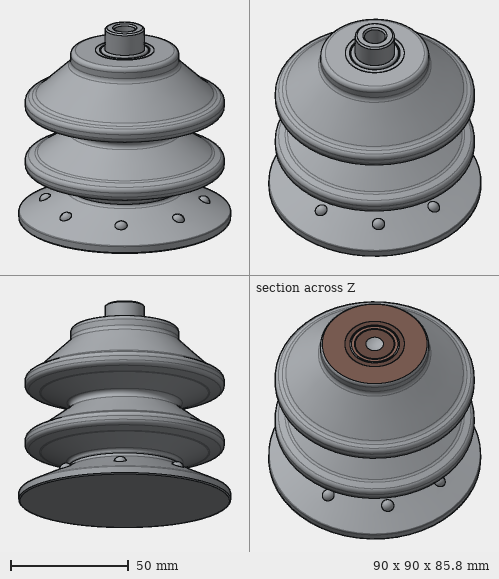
import cadquery as cq
import math


overall_height = 85.8
lip_radius = 45.0

rim_chamfer = 0.5
rim_height = 3.5
rim_fillet = 0.45
neck_radius = 23.8
lip_cone_top = 13.7
neck_fillet = 1.7
lip_cone_angle = math.atan2(lip_cone_top - rim_height, lip_radius - neck_radius)
split_height = lip_cone_top + neck_fillet * math.tan((math.pi / 2 - lip_cone_angle) / 2)

stud_count = 8
stud_radius = 2.9
stud_circle_radius = 33.3
stud_center_height = 7.7

convolution_radius = 42.3
convolution_pitch = 26.1
step_radius = 35.8
lower_neck_corner = 16.4
lower_step_height = 21.3
step_fillet = 4.5
lower_band_bottom = 23.0
lower_band_top = 27.9
band_bottom_fillet = 2.1
band_top_fillet = 2.25
shoulder_fillet = 4.5

lower_shoulder = (37.5, 29.7)
upper_shoulder = (38.3, 55.6)
upper_band_top = 54.2
middle_neck_corner = (21.15, 41.6)
middle_neck_fillet = 2.0

cap_radius = 46.0 / 2
cap_bottom = 69.8
cap_bottom_fillet = 2.8
cap_top = 75.7
cap_top_fillet = 2.0

flange_radius = 25.0 / 2
flange_rise = 0.2
flange_top = cap_top + flange_rise
flange_bottom = 70.2
stem_radius = 16.65 / 2
stem_chamfer_radial = 0.8
stem_chamfer_height = 0.6
bore_radius = 8.8 / 2
bore_mouth_radius = 10.3 / 2
bore_wall_bottom = 75.6
bore_dish_radius = 8.3

ring_section_radius = 0.9
ring_center_radius = stem_radius + ring_section_radius
ring_center_height = 75.7
groove_floor = ring_center_height - ring_section_radius
groove_radius = 10.4
groove_mouth_radius = 21.5 / 2

shortest_line = 0.001


def rounded_profile(corners):
    """Closed outline in the XZ plane from (radius, height, fillet radius) corners."""
    count = len(corners)
    stretches = []
    for i, (x, z, fillet) in enumerate(corners):
        corner = cq.Vector(x, 0, z)
        if fillet == 0:
            stretches.append([corner])
            continue
        previous = corners[i - 1]
        following = corners[(i + 1) % count]
        back = (cq.Vector(previous[0], 0, previous[1]) - corner).normalized()
        ahead = (cq.Vector(following[0], 0, following[1]) - corner).normalized()
        half_angle = back.getAngle(ahead) / 2
        tangent_length = fillet / math.tan(half_angle)
        arc_distance = fillet / math.sin(half_angle) - fillet
        middle = corner + (back + ahead).normalized() * arc_distance
        stretches.append([corner + back * tangent_length, middle, corner + ahead * tangent_length])

    edges = []
    for i, stretch in enumerate(stretches):
        if len(stretch) == 3:
            edges.append(cq.Edge.makeThreePointArc(*stretch))
        start = stretch[-1]
        end = stretches[(i + 1) % count][0]
        if (end - start).Length > shortest_line:
            edges.append(cq.Edge.makeLine(start, end))
    return cq.Wire.assembleEdges(edges)


def turned(corners):
    """Solid turned about the Z axis from (radius, height, fillet radius) corners."""
    outline = rounded_profile(corners)
    return cq.Workplane(cq.Solid.revolve(outline, [], 360, cq.Vector(0, 0, 0), cq.Vector(0, 0, 1)))


def make_lip():
    lip = turned([
        (0, 0, 0),
        (lip_radius - rim_chamfer, 0, 0),
        (lip_radius, rim_chamfer, 0),
        (lip_radius, rim_height, rim_fillet),
        (neck_radius, lip_cone_top, neck_fillet),
        (neck_radius, split_height, 0),
        (0, split_height, 0),
    ])
    for i in range(stud_count):
        angle = 2 * math.pi * i / stud_count
        center = (
            stud_circle_radius * math.cos(angle),
            stud_circle_radius * math.sin(angle),
            stud_center_height,
        )
        lip = lip.union(cq.Workplane().sphere(stud_radius).translate(center))
    return lip


def make_bellows():
    upper_band_bottom = lower_band_bottom + convolution_pitch
    upper_step_height = lower_step_height + convolution_pitch
    return turned([
        (0, split_height, 0),
        (neck_radius, split_height, 0),
        (neck_radius, lower_neck_corner, neck_fillet),
        (step_radius, lower_step_height, step_fillet),
        (convolution_radius, lower_band_bottom, band_bottom_fillet),
        (convolution_radius, lower_band_top, band_top_fillet),
        (*lower_shoulder, shoulder_fillet),
        (*middle_neck_corner, middle_neck_fillet),
        (step_radius, upper_step_height, step_fillet),
        (convolution_radius, upper_band_bottom, band_bottom_fillet),
        (convolution_radius, upper_band_top, band_top_fillet),
        (*upper_shoulder, shoulder_fillet),
        (cap_radius, cap_bottom, cap_bottom_fillet),
        (cap_radius, cap_top, cap_top_fillet),
        (flange_radius, cap_top, 0),
        (flange_radius, flange_bottom, 0),
        (0, flange_bottom, 0),
    ])


def make_fitting():
    groove_chamfer = groove_mouth_radius - groove_radius
    bore_chamfer = bore_mouth_radius - bore_radius
    body = turned([
        (0, flange_bottom, 0),
        (flange_radius, flange_bottom, 0),
        (flange_radius, flange_top, 0),
        (groove_mouth_radius, flange_top, 0),
        (groove_radius, flange_top - groove_chamfer, 0),
        (groove_radius, groove_floor, 0),
        (stem_radius, groove_floor, 0),
        (stem_radius, overall_height - stem_chamfer_height, 0),
        (stem_radius - stem_chamfer_radial, overall_height, 0),
        (bore_mouth_radius, overall_height, 0),
        (bore_radius, overall_height - bore_chamfer, 0),
        (bore_radius, bore_wall_bottom, 0),
        (0, bore_wall_bottom, 0),
    ])
    dish_center_height = bore_wall_bottom + math.sqrt(bore_dish_radius**2 - bore_radius**2)
    dish = (
        cq.Workplane()
        .sphere(bore_dish_radius)
        .translate((0, 0, dish_center_height))
        .intersect(cq.Workplane().circle(bore_radius).extrude(bore_wall_bottom))
    )
    return body.cut(dish)


def make_ring():
    return cq.Workplane(
        cq.Solid.makeTorus(ring_center_radius, ring_section_radius, cq.Vector(0, 0, ring_center_height))
    )


lip = make_lip()
bellows = make_bellows()
fitting = make_fitting()
ring = make_ring()

result = cq.Compound.makeCompound([lip.val(), bellows.val(), fitting.val(), ring.val()])